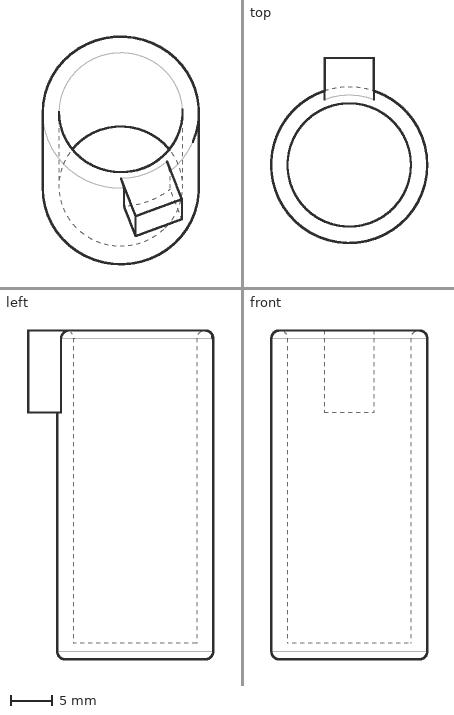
import cadquery as cq

height = 40.0
outer_diameter = 19.0
bore_diameter = 15.0
outer_radius = outer_diameter / 2
bore_radius = bore_diameter / 2
wall = outer_radius - bore_radius
floor_thickness = wall
edge_radius = wall / 2
rim_crest_radius = outer_radius - edge_radius

tab_width = 6.0
tab_height = 10.0
total_depth = 22.5
tab_end = total_depth - outer_radius


def make_cup():
    """Revolve the half section of the closed-bottom tube about Z."""
    rim_start = height - edge_radius
    arc_offset = edge_radius * 0.5**0.5
    bottom_arc_middle = (rim_crest_radius + arc_offset, edge_radius - arc_offset)
    return (
        cq.Workplane("XZ")
        .moveTo(0, 0)
        .lineTo(rim_crest_radius, 0)
        .threePointArc(bottom_arc_middle, (outer_radius, edge_radius))
        .lineTo(outer_radius, rim_start)
        .threePointArc((rim_crest_radius, height), (bore_radius, rim_start))
        .lineTo(bore_radius, floor_thickness)
        .lineTo(0, floor_thickness)
        .close()
        .revolve(360, (0, 0, 0), (0, 1, 0))
    )


def make_tab():
    """Block whose inner face follows the crest of the rim."""
    half_width = tab_width / 2
    inner_corner = (rim_crest_radius**2 - half_width**2) ** 0.5
    return (
        cq.Workplane("XY", origin=(0, 0, height - tab_height))
        .moveTo(-half_width, tab_end)
        .lineTo(-half_width, inner_corner)
        .threePointArc((0, rim_crest_radius), (half_width, inner_corner))
        .lineTo(half_width, tab_end)
        .close()
        .extrude(tab_height)
    )


result = make_cup().union(make_tab())